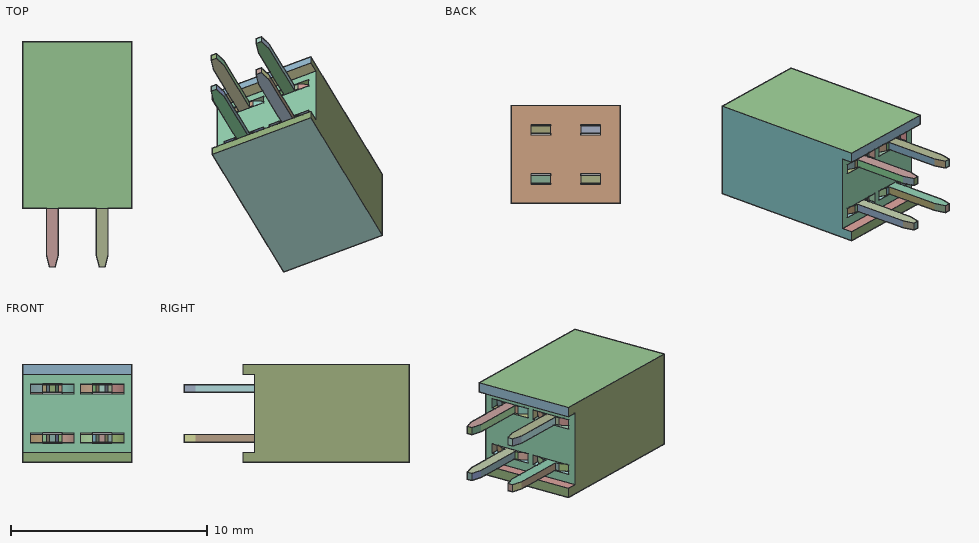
import cadquery as cq
import math

WIDTH = 5.58
HEIGHT = 5.0
HOUSING_LENGTH = 8.5
LIP_LENGTH = 0.59
LIP_THICKNESS = 0.52

COLUMN_PITCH = 2.54
ROW_PITCH = 2.54

SLOT_WIDTH = 2.23
SLOT_HEIGHT = 0.52
SLOT_DEPTH = 2.3
SLOT_ROW_PITCH = 2.51
CHANNEL_WIDTH = 1.0

TOTAL_LENGTH = 11.5
CONTACT_THICKNESS = 0.4
TAIL_WIDTH = 0.61
TIP_WIDTH = 0.3
TAPER_LENGTH = 0.6
SHOULDER_TOP_WIDTH = CHANNEL_WIDTH
SHOULDER_RADIUS = 1.55
SHOULDER_START_ANGLE = 20
CROWN_RISE = 0.008

TIP_Y = -TOTAL_LENGTH / 2
BACK_Y = TOTAL_LENGTH / 2
LIP_Y = BACK_Y - HOUSING_LENGTH
FACE_Y = LIP_Y + LIP_LENGTH
SLOT_END_Y = FACE_Y + SLOT_DEPTH


def grid(row_pitch):
    """X and Z of the four contact positions."""
    return [
        (column * COLUMN_PITCH / 2, row * row_pitch / 2)
        for column in (-1, 1)
        for row in (-1, 1)
    ]


def box_between(width, height, start_y, end_y):
    """A box centred on the Y axis, from start_y to end_y."""
    length = end_y - start_y
    return cq.Workplane("XY").box(width, length, height).translate((0, start_y + length / 2, 0))


def make_housing():
    """The block, with the space between its lips, the slots and the channels removed."""
    housing = box_between(WIDTH, HEIGHT, LIP_Y, BACK_Y)
    housing = housing.cut(box_between(WIDTH, HEIGHT - 2 * LIP_THICKNESS, LIP_Y, FACE_Y))
    slot = box_between(SLOT_WIDTH, SLOT_HEIGHT, FACE_Y, SLOT_END_Y)
    channel = box_between(CHANNEL_WIDTH, SLOT_HEIGHT, FACE_Y, BACK_Y)
    opening = slot.union(channel)
    for x, z in grid(SLOT_ROW_PITCH):
        housing = housing.cut(opening.translate((x, 0, z)))
    return housing


def make_contact(x, z):
    """A contact whose shoulder plate fills the slot width and ends at the slot's bottom."""
    side = SLOT_WIDTH / 2
    tail = TAIL_WIDTH / 2
    tip = TIP_WIDTH / 2
    arc_start = SHOULDER_TOP_WIDTH / 2
    arc_start_y = FACE_Y + CROWN_RISE

    start_angle = math.radians(SHOULDER_START_ANGLE)
    center_x = arc_start - SHOULDER_RADIUS * math.sin(start_angle)
    center_y = arc_start_y + SHOULDER_RADIUS * math.cos(start_angle)
    end_angle = math.asin((side - center_x) / SHOULDER_RADIUS)
    middle_angle = (start_angle + end_angle) / 2

    def arc_point(angle):
        return (
            center_x + SHOULDER_RADIUS * math.sin(angle),
            center_y - SHOULDER_RADIUS * math.cos(angle),
        )

    half = (
        cq.Workplane("XY")
        .moveTo(0, TIP_Y)
        .lineTo(tip, TIP_Y)
        .lineTo(tail, TIP_Y + TAPER_LENGTH)
        .lineTo(tail, FACE_Y)
        .lineTo(arc_start, arc_start_y)
        .threePointArc(arc_point(middle_angle), arc_point(end_angle))
        .lineTo(side, SLOT_END_Y)
        .lineTo(0, SLOT_END_Y)
        .close()
        .extrude(CONTACT_THICKNESS / 2, both=True)
    )
    contact = half.union(half.mirror("YZ")).clean()
    return contact.translate((x, 0, z))


housing = make_housing()
contacts = [make_contact(x, z) for x, z in grid(ROW_PITCH)]

result = cq.Compound.makeCompound([housing.val(), *[contact.val() for contact in contacts]])